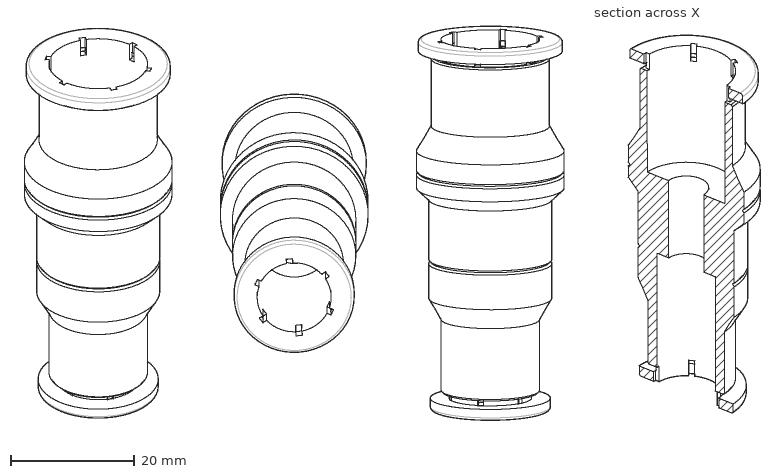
import cadquery as cq

total_height = 61.1
flange_thickness = 1.9
neck_height = 1.0
lower_cone_bottom = 14.9
lower_cone_top = 18.4
lower_joint_height = 24.45
middle_cone_bottom = 34.7
middle_cone_top = 36.6
upper_joint_height = 39.1
upper_cone_bottom = 42.7
upper_cone_top = 46.8

lower_flange_diameter = 19.5
lower_neck_diameter = 13.4
lower_body_diameter = 16.0
middle_body_diameter = 20.0
collar_diameter = 24.0
upper_body_diameter = 19.2
upper_neck_diameter = 17.4
upper_flange_diameter = 23.4

flange_fillet = 0.5
body_chamfer = 0.3
joint_chamfer = 0.35

upper_socket_diameter = 16.0
lower_socket_diameter = 12.0
passage_diameter = 7.3
upper_socket_floor = upper_joint_height
lower_socket_floor = lower_joint_height

slit_count = 6
slit_width = 1.0
slit_height = flange_thickness + neck_height


def cylinder(diameter, bottom, top):
    """Cylinder on the Z axis between two heights."""
    return cq.Workplane("XY").workplane(offset=bottom).circle(diameter / 2).extrude(top - bottom)


def joint_groove(radius, height):
    """Profile points of the V groove where two chamfered housing pieces meet."""
    return [
        (radius, height - joint_chamfer),
        (radius - joint_chamfer, height),
        (radius, height + joint_chamfer),
    ]


def make_body():
    """Outer housing turned about the Z axis, from the lower neck to the upper neck."""
    bottom = flange_thickness + neck_height
    top = total_height - bottom
    lower_radius = lower_body_diameter / 2
    middle_radius = middle_body_diameter / 2
    collar_radius = collar_diameter / 2
    upper_radius = upper_body_diameter / 2
    profile = [
        (0, bottom),
        (lower_radius - body_chamfer, bottom),
        (lower_radius, bottom + body_chamfer),
        (lower_radius, lower_cone_bottom),
        (middle_radius, lower_cone_top),
        *joint_groove(middle_radius, lower_joint_height),
        (middle_radius, middle_cone_bottom),
        (collar_radius, middle_cone_top),
        *joint_groove(collar_radius, upper_joint_height),
        (collar_radius, upper_cone_bottom),
        (upper_radius, upper_cone_top),
        (upper_radius, top - body_chamfer),
        (upper_radius - body_chamfer, top),
        (0, top),
    ]
    return cq.Workplane("XZ").polyline(profile).close().revolve(360, (0, 0), (0, 1))


def lower_sleeve():
    """Lower release sleeve: a flange with a rounded end edge and a neck."""
    flange = cylinder(lower_flange_diameter, 0, flange_thickness)
    flange = flange.edges("<Z").fillet(flange_fillet)
    neck = cylinder(lower_neck_diameter, flange_thickness, flange_thickness + neck_height)
    return flange.union(neck)


def upper_sleeve():
    """Upper release sleeve: a neck and a flange with a rounded end edge."""
    flange_bottom = total_height - flange_thickness
    flange = cylinder(upper_flange_diameter, flange_bottom, total_height)
    flange = flange.edges(">Z").fillet(flange_fillet)
    neck = cylinder(upper_neck_diameter, flange_bottom - neck_height, flange_bottom)
    return flange.union(neck)


def sleeve_slits(neck_diameter, bottom):
    """Slits running outward from the axis to the outside of the neck."""
    slit_length = neck_diameter / 2
    slits = cq.Workplane("XY")
    for index in range(slit_count):
        slit = (
            cq.Workplane("XY")
            .box(slit_width, slit_length, slit_height, centered=(True, False, False))
            .translate((0, 0, bottom))
            .rotate((0, 0, 0), (0, 0, 1), index * 360 / slit_count)
        )
        slits = slits.union(slit)
    return slits


result = make_body().union(lower_sleeve()).union(upper_sleeve())

result = result.cut(cylinder(passage_diameter, 0, total_height))
result = result.cut(cylinder(lower_socket_diameter, 0, lower_socket_floor))
result = result.cut(cylinder(upper_socket_diameter, upper_socket_floor, total_height))

result = result.cut(sleeve_slits(lower_neck_diameter, 0))
result = result.cut(sleeve_slits(upper_neck_diameter, total_height - slit_height))